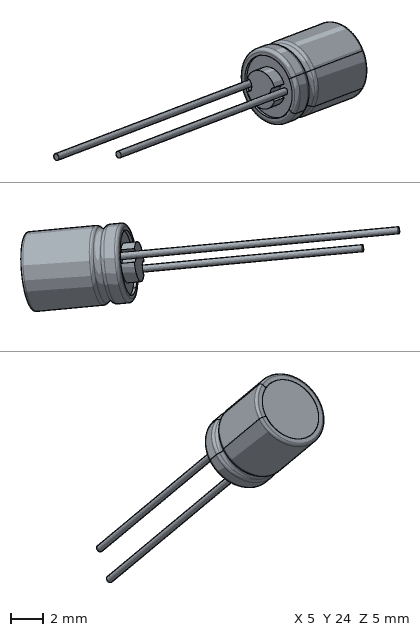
import cadquery as cq
import math


body_radius = 2.5
body_length = 6.3
core_radius = 2.05
front_fillet = 0.25
back_fillet = 0.17

groove_depth = 0.228
groove_width = 0.94
front_land = 0.94

stripe_angle = 60.0
full_turn = 360.0

seal_recess = 0.2
boss_radius = 1.25
boss_projection = 0.67
clearance_radius = 0.45

lead_radius = 0.225
lead_offset = 1.25
total_length = 24.0
lead_length_difference = 2.98
long_lead_end = body_length - total_length
short_lead_end = long_lead_end + lead_length_difference

lead_places = [(-lead_offset, long_lead_end), (lead_offset, short_lead_end)]


def cylinder(radius, start, end, x=0.0):
    """Cylinder parallel to Y between two Y positions."""
    return cq.Workplane("XZ", origin=(x, end, 0)).circle(radius).extrude(end - start)


def sleeve_sector(start_angle, sweep):
    """Sector of the grooved sleeve, starting at an angle about Y from +X."""
    groove_middle = front_land + groove_width / 2
    groove_back = front_land + groove_width
    floor_radius = body_radius - groove_depth

    flank = groove_width / 2
    flank_arc_radius = (flank**2 + groove_depth**2) / (4 * groove_depth)
    half_turn = math.asin(flank / 2 / flank_arc_radius) / 2
    arc_run = flank_arc_radius * math.sin(half_turn)
    arc_drop = flank_arc_radius * (1 - math.cos(half_turn))
    inflection_radius = body_radius - groove_depth / 2
    diagonal = math.sqrt(0.5)

    profile = (
        cq.Workplane("XY")
        .moveTo(core_radius, 0)
        .lineTo(body_radius - front_fillet, 0)
        .threePointArc(
            (body_radius - front_fillet * (1 - diagonal), front_fillet * (1 - diagonal)),
            (body_radius, front_fillet),
        )
        .lineTo(body_radius, front_land)
        .threePointArc(
            (body_radius - arc_drop, front_land + arc_run),
            (inflection_radius, front_land + flank / 2),
        )
        .threePointArc((floor_radius, groove_middle), (inflection_radius, groove_back - flank / 2))
        .threePointArc((body_radius - arc_drop, groove_back - arc_run), (body_radius, groove_back))
        .lineTo(body_radius, body_length - back_fillet)
        .threePointArc(
            (body_radius - back_fillet * (1 - diagonal), body_length - back_fillet * (1 - diagonal)),
            (body_radius - back_fillet, body_length),
        )
        .lineTo(core_radius, body_length)
        .close()
    )
    sector = profile.revolve(sweep, (0, 0, 0), (0, 1, 0))
    return sector.rotate((0, 0, 0), (0, 1, 0), start_angle)


def make_core():
    """Core filling the sleeve, with a front boss notched around each lead."""
    boss = cylinder(boss_radius, -boss_projection, seal_recess)
    for x, _ in lead_places:
        boss = boss.cut(cylinder(clearance_radius, -boss_projection, seal_recess, x))
    return cylinder(core_radius, seal_recess, body_length).union(boss)


def make_lead(x, end):
    """Round wire standing on the recessed seal face."""
    return cylinder(lead_radius, end, seal_recess, x)


stripe = sleeve_sector(-stripe_angle / 2, stripe_angle)
sleeve = sleeve_sector(stripe_angle / 2, full_turn - stripe_angle)
core = make_core()
leads = [make_lead(x, end) for x, end in lead_places]

result = cq.Compound.makeCompound(
    [sleeve.val(), stripe.val(), core.val(), *[lead.val() for lead in leads]]
)